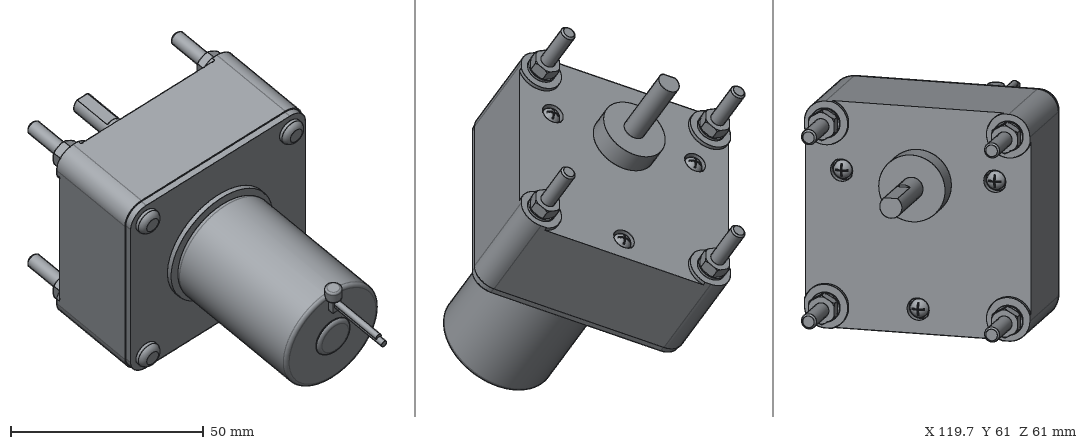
import cadquery as cq
import math


TOTAL_LENGTH = 119.7
SHAFT_FLAT_LENGTH = 12.0
BOSS_FACE_X = 20.0
CASE_FACE_X = 26.0
COVER_X = 52.0
COVER_BACK_X = 53.9
MOTOR_X = 55.3
MOTOR_BACK_X = 99.2

DOME_BULGE = 0.15

CASE_SIZE = 61.0
CASE_CORNER_RADIUS = 5.7
COVER_INSET = 0.4
PAD_RADIUS = 6.0
PAD_HEIGHT = 1.1
SCREW_OFFSET = CASE_SIZE / 2 - CASE_CORNER_RADIUS
CORNERS = [(sy * SCREW_OFFSET, sz * SCREW_OFFSET) for sy in (-1, 1) for sz in (-1, 1)]

SHAFT_Z = 10.0
SHAFT_RADIUS = 3.0
SHAFT_FLAT_HEIGHT = 2.4
BOSS_RADIUS = 9.0

SCREW_RADIUS = 2.0
SCREW_TIP_X = 8.7
SCREW_CHAMFER = 0.5
NUT_X = 21.0
NUT_THICKNESS = 3.2
NUT_ACROSS_CORNERS = 8.0
NUT_CHAMFER = 0.4
WASHER_RADIUS = 4.0
HEAD_RADIUS = 3.6
HEAD_RIM_HEIGHT = 1.0
HEAD_HEIGHT = 2.5
HEAD_TOP_RADIUS = 2.0

RECESS_CIRCLE_RADIUS = 23.9
RECESS_ANGLES = (30, 150, 270)
RECESS_RADIUS = 3.0
RECESS_DEPTH = 2.0
DOME_RADIUS = 2.5
DOME_RIM_HEIGHT = 1.0
DOME_RISE = 0.5
DOME_TOP_RADIUS = 0.4
CROSS_LENGTH = 3.4
CROSS_WIDTH = 0.4
CROSS_DEPTH = 0.7

FLANGE_RADIUS = 17.5
MOTOR_RADIUS = 16.0
MOTOR_FRONT_FILLET = 1.7
MOTOR_BACK_FILLET = 1.1
BEARING_RADIUS = 5.7
BEARING_HEIGHT = 1.1
BEARING_RIM_HEIGHT = 0.2
BEARING_TOP_RADIUS = 4.5

GROMMET_X = 99.6
GROMMET_RADIUS = 2.3
GROMMET_TOP_Z = 18.2
GROMMET_BOTTOM_Z = 14.5
GROMMET_FILLET = 0.6
TAB_BACK_X = 101.0
TAB_BOTTOM_Z = 10.7
TAB_WIDTH = 2.9
WIRE_RADIUS = 0.9
LOWER_WIRE_Z = 12.8
UPPER_WIRE_Z = LOWER_WIRE_Z + WIRE_RADIUS
UPPER_WIRE_END_X = 117.5


def plane_at(x):
    """Sketch plane facing +X, with Y and Z as its local axes."""
    return cq.Workplane("YZ", origin=(x, 0, 0))


def rod(x_start, x_end, radius, y=0, z=0):
    return plane_at(x_start).center(y, z).circle(radius).extrude(x_end - x_start)


def rounded_block(x_start, x_end, size, corner_radius):
    block = plane_at(x_start).rect(size, size).extrude(x_end - x_start)
    return block.edges("|X").fillet(corner_radius)


def domed_rod(x_base, radius, rim_x, top_x, top_radius, y=0, z=0):
    """Cylinder along X whose end, on either side, is rounded down to a flat of top_radius."""
    direction = math.copysign(1, top_x - rim_x)
    mid_x = (rim_x + top_x) / 2 + direction * DOME_BULGE * (radius - top_radius)
    mid_radius = (radius + top_radius) / 2 + DOME_BULGE * abs(top_x - rim_x)
    profile = (
        cq.Workplane("XY")
        .moveTo(x_base, 0)
        .lineTo(x_base, radius)
        .lineTo(rim_x, radius)
        .threePointArc((mid_x, mid_radius), (top_x, top_radius))
        .lineTo(top_x, 0)
        .close()
    )
    return profile.revolve(360, (0, 0, 0), (1, 0, 0)).translate((0, y, z))


def gearbox():
    case = rounded_block(CASE_FACE_X, COVER_X, CASE_SIZE, CASE_CORNER_RADIUS)
    cover = rounded_block(
        COVER_X, COVER_BACK_X, CASE_SIZE - 2 * COVER_INSET, CASE_CORNER_RADIUS - COVER_INSET
    )
    pad_x = CASE_FACE_X - PAD_HEIGHT
    pads = plane_at(pad_x).pushPoints(CORNERS).circle(PAD_RADIUS).extrude(PAD_HEIGHT)
    outline = rounded_block(pad_x, CASE_FACE_X, CASE_SIZE, CASE_CORNER_RADIUS)
    return case.union(cover).union(pads.intersect(outline))


def output_shaft():
    boss = rod(BOSS_FACE_X, CASE_FACE_X, BOSS_RADIUS, z=SHAFT_Z)
    shaft = rod(0, BOSS_FACE_X, SHAFT_RADIUS, z=SHAFT_Z)
    above_flat = cq.Workplane("XY", origin=(0, 0, SHAFT_Z + SHAFT_FLAT_HEIGHT)).box(
        SHAFT_FLAT_LENGTH, 2 * SHAFT_RADIUS, SHAFT_RADIUS, centered=(False, True, False)
    )
    return boss.union(shaft.cut(above_flat))


def corner_screw(y, z):
    nut_end_x = NUT_X + NUT_THICKNESS
    stud = rod(SCREW_TIP_X, CASE_FACE_X, SCREW_RADIUS, y, z).faces("<X").chamfer(SCREW_CHAMFER)
    hexagon = (
        plane_at(NUT_X)
        .center(y, z)
        .transformed(rotate=(0, 0, 90))
        .polygon(6, NUT_ACROSS_CORNERS)
        .extrude(NUT_THICKNESS)
    )
    corner_trim = rod(NUT_X, nut_end_x, NUT_ACROSS_CORNERS / 2, y, z)
    corner_trim = corner_trim.faces("<X or >X").chamfer(NUT_CHAMFER)
    washer = rod(nut_end_x, CASE_FACE_X - PAD_HEIGHT, WASHER_RADIUS, y, z)
    head = domed_rod(
        COVER_BACK_X,
        HEAD_RADIUS,
        COVER_BACK_X + HEAD_RIM_HEIGHT,
        COVER_BACK_X + HEAD_HEIGHT,
        HEAD_TOP_RADIUS,
        y,
        z,
    )
    return stud.union(hexagon.intersect(corner_trim)).union(washer).union(head)


def recess(y, z):
    return rod(CASE_FACE_X, CASE_FACE_X + RECESS_DEPTH, RECESS_RADIUS, y, z)


def recessed_screw(y, z):
    """Domed cross-head screw standing on the floor of its recess."""
    top_x = CASE_FACE_X - DOME_RISE
    head = domed_rod(
        CASE_FACE_X + RECESS_DEPTH,
        DOME_RADIUS,
        CASE_FACE_X + RECESS_DEPTH - DOME_RIM_HEIGHT,
        top_x,
        DOME_TOP_RADIUS,
        y,
        z,
    )
    for width, height in ((CROSS_LENGTH, CROSS_WIDTH), (CROSS_WIDTH, CROSS_LENGTH)):
        slot = plane_at(top_x).center(y, z).rect(width, height).extrude(CROSS_DEPTH)
        head = head.cut(slot)
    return head


def motor():
    flange = rod(COVER_BACK_X, MOTOR_X, FLANGE_RADIUS)
    can = rod(MOTOR_X, MOTOR_BACK_X, MOTOR_RADIUS)
    can = can.faces("<X").edges().fillet(MOTOR_FRONT_FILLET)
    can = can.faces(">X").edges().fillet(MOTOR_BACK_FILLET)
    bearing = domed_rod(
        MOTOR_BACK_X,
        BEARING_RADIUS,
        MOTOR_BACK_X + BEARING_RIM_HEIGHT,
        MOTOR_BACK_X + BEARING_HEIGHT,
        BEARING_TOP_RADIUS,
    )
    return flange.union(can).union(bearing)


def wiring():
    grommet = (
        cq.Workplane("XY", origin=(GROMMET_X, 0, GROMMET_BOTTOM_Z))
        .circle(GROMMET_RADIUS)
        .extrude(GROMMET_TOP_Z - GROMMET_BOTTOM_Z)
        .faces("<Z or >Z")
        .edges()
        .fillet(GROMMET_FILLET)
    )
    tab = cq.Workplane("XY", origin=(MOTOR_BACK_X, 0, TAB_BOTTOM_Z)).box(
        TAB_BACK_X - MOTOR_BACK_X, TAB_WIDTH, GROMMET_BOTTOM_Z - TAB_BOTTOM_Z, centered=(False, True, False)
    )
    lower_wire = rod(MOTOR_BACK_X, TOTAL_LENGTH, WIRE_RADIUS, z=LOWER_WIRE_Z)
    upper_wire = rod(MOTOR_BACK_X, UPPER_WIRE_END_X, WIRE_RADIUS, z=UPPER_WIRE_Z)
    return grommet.union(tab).union(lower_wire).union(upper_wire)


result = gearbox().union(output_shaft()).union(motor()).union(wiring())

for corner_y, corner_z in CORNERS:
    result = result.union(corner_screw(corner_y, corner_z))

for angle in RECESS_ANGLES:
    screw_y = RECESS_CIRCLE_RADIUS * math.cos(math.radians(angle))
    screw_z = RECESS_CIRCLE_RADIUS * math.sin(math.radians(angle))
    result = result.cut(recess(screw_y, screw_z)).union(recessed_screw(screw_y, screw_z))